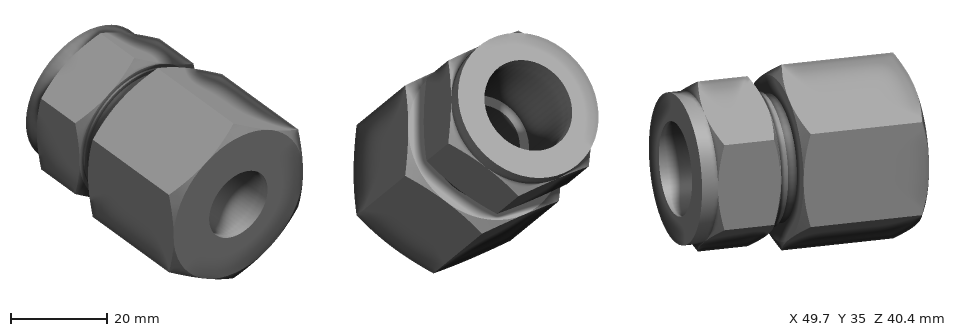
import cadquery as cq
import math


COLLAR_END = 3.55
NUT_END = 17.4
NUT_LIP_END = 17.85
SHOULDER_END = 19.7
BODY_START = 21.9
TOTAL_LENGTH = 49.7

NUT_WIDTH = 32.0
BODY_WIDTH = 35.0
HEXAGON_SIDES = 6
CORNER_CHAMFER_ANGLE = 30.0

COLLAR_DIAMETER = NUT_WIDTH
NUT_LIP_DIAMETER = 30.3
SHOULDER_DIAMETER = 28.65
NECK_DIAMETER = 27.1
SOCKET_DIAMETER = 20.0
BORE_DIAMETER = 15.8

SOCKET_DEPTH = BODY_START


def cylinder(start, end, diameter):
    """Cylinder on the X axis between two stations."""
    return cq.Workplane("YZ", origin=(start, 0, 0)).circle(diameter / 2).extrude(end - start)


def chamfered_hexagon(start, end, width):
    """Hexagonal prism with its corners turned off conically at both ends."""
    flat_radius = width / 2
    corner_radius = flat_radius / math.cos(math.pi / HEXAGON_SIDES)
    prism = (
        cq.Workplane("YZ", origin=(start, 0, 0))
        .transformed(rotate=(0, 0, 90))
        .polygon(HEXAGON_SIDES, 2 * corner_radius)
        .extrude(end - start)
    )
    chamfer_length = (corner_radius - flat_radius) * math.tan(math.radians(CORNER_CHAMFER_ANGLE))
    envelope = (
        cq.Workplane("XY")
        .moveTo(start, 0)
        .lineTo(start, flat_radius)
        .lineTo(start + chamfer_length, corner_radius)
        .lineTo(end - chamfer_length, corner_radius)
        .lineTo(end, flat_radius)
        .lineTo(end, 0)
        .close()
        .revolve(360, (0, 0, 0), (1, 0, 0))
    )
    return prism.intersect(envelope)


nut = cylinder(0, COLLAR_END, COLLAR_DIAMETER)
nut = nut.union(chamfered_hexagon(COLLAR_END, NUT_END, NUT_WIDTH))

neck = cylinder(NUT_END, NUT_LIP_END, NUT_LIP_DIAMETER)
neck = neck.union(cylinder(NUT_LIP_END, SHOULDER_END, SHOULDER_DIAMETER))
neck = neck.union(cylinder(SHOULDER_END, BODY_START, NECK_DIAMETER))

body = chamfered_hexagon(BODY_START, TOTAL_LENGTH, BODY_WIDTH)

socket = cylinder(0, SOCKET_DEPTH, SOCKET_DIAMETER)
bore = cylinder(0, TOTAL_LENGTH, BORE_DIAMETER)

result = nut.union(neck).union(body).cut(socket).cut(bore)